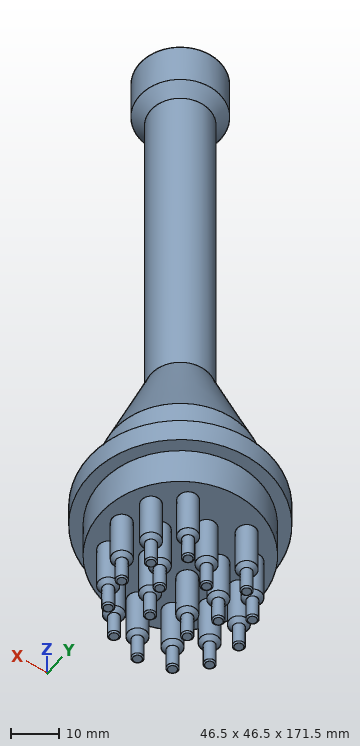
import cadquery as cq
import math

sleeve_bottom = 6.2
body_bottom = 18.9
flange_bottom = 28.8
flange_top = 35.0
collar_top = 38.0
shoulder_top = 48.0
cone_top = 72.7
head_taper_bottom = 158.3
head_bottom = 161.0
overall_height = 171.5

body_diameter = 40.5
flange_diameter = 46.5
shoulder_diameter = 34.0
neck_diameter = 15.0
head_diameter = 20.5

sleeve_diameter = 4.8
tip_diameter = 2.7
tip_chamfer = 0.3
sleeve_taper_height = (sleeve_diameter - tip_diameter) / 2
pin_embed = 1.7

outer_ring_radius = 15.1
outer_positions = 12
empty_position = outer_positions // 4

lower_pair_x = 4.8
lower_pair_y = -4.1
upper_pair_x = 7.5
upper_pair_y = 3.1
single_pin_y = 9.3


def revolve_about_z(profile):
    """Solid of revolution from a closed outline of (radius, height) points."""
    return cq.Workplane("XZ").polyline(profile).close().revolve(360, (0, 0, 0), (0, 1, 0))


def turned_body():
    """Flanged plug body, cone, neck and head."""
    return revolve_about_z([
        (0, body_bottom),
        (body_diameter / 2, body_bottom),
        (body_diameter / 2, flange_bottom),
        (flange_diameter / 2, flange_bottom),
        (flange_diameter / 2, flange_top),
        (body_diameter / 2, flange_top),
        (body_diameter / 2, collar_top),
        (shoulder_diameter / 2, collar_top),
        (shoulder_diameter / 2, shoulder_top),
        (neck_diameter / 2, cone_top),
        (neck_diameter / 2, head_taper_bottom),
        (head_diameter / 2, head_bottom),
        (head_diameter / 2, overall_height),
        (0, overall_height),
    ])


def contact_pin():
    """One pin on the Z axis: a chamfered slim tip that tapers out to a thicker sleeve."""
    pin_top = body_bottom + pin_embed
    return revolve_about_z([
        (0, 0),
        (tip_diameter / 2 - tip_chamfer, 0),
        (tip_diameter / 2, tip_chamfer),
        (tip_diameter / 2, sleeve_bottom),
        (sleeve_diameter / 2, sleeve_bottom + sleeve_taper_height),
        (sleeve_diameter / 2, pin_top),
        (0, pin_top),
    ])


def outer_pin_positions():
    """(x, y) of the outer ring, leaving out the empty position."""
    positions = []
    for index in range(outer_positions):
        if index == empty_position:
            continue
        angle = 2 * math.pi * index / outer_positions
        positions.append((outer_ring_radius * math.cos(angle), outer_ring_radius * math.sin(angle)))
    return positions


def inner_pin_positions():
    """(x, y) of the single inner pin and the two mirrored pairs."""
    positions = [(0, single_pin_y)]
    for side in (-1, 1):
        positions.append((side * lower_pair_x, lower_pair_y))
        positions.append((side * upper_pair_x, upper_pair_y))
    return positions


pin = contact_pin()
result = turned_body()
for x, y in outer_pin_positions() + inner_pin_positions():
    result = result.union(pin.translate((x, y, 0)))